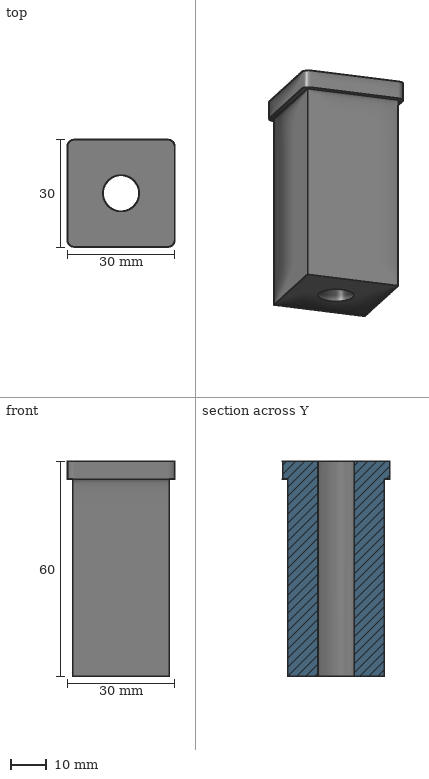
import cadquery as cq

total_height = 60.0
cap_width = 30.0
cap_height = 5.0
cap_corner_radius = 2.0
body_width = 27.0
hole_diameter = 10.0

body_height = total_height - cap_height

body = cq.Workplane("XY").rect(body_width, body_width).extrude(body_height)

cap = (
    cq.Workplane("XY")
    .workplane(offset=body_height)
    .rect(cap_width, cap_width)
    .extrude(cap_height)
    .edges("|Z")
    .fillet(cap_corner_radius)
)

bore = cq.Workplane("XY").circle(hole_diameter / 2).extrude(total_height)

result = body.union(cap).cut(bore)